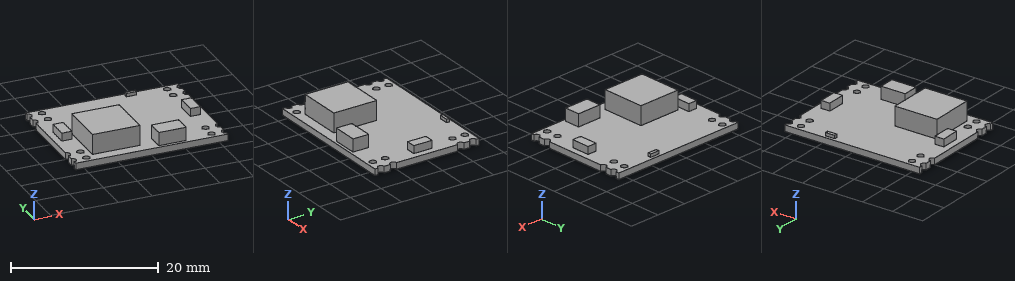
import cadquery as cq

board_length = 22.5
board_width = 17.0
board_thickness = 1.01
overall_height = 4.0

hole_diameter = 1.0
hole_x = 9.25
inner_row_y = 5.5
outer_row_y = 7.5

main_side = 7.0
main_height = overall_height - board_thickness
main_center = (-4.6, -3.42)

front_size = (4.05, 2.55, 1.98)
front_center = (3.25, -6.77)

chip_size = (1.53, 0.5, 0.5)
chip_center = (4.0, 7.78)

side_size = (1.48, 2.97, 1.2)
side_x = 9.5


def make_board():
    """Plate with holes and edge notches in the same four rows."""
    plate = cq.Workplane("XY").box(
        board_length, board_width, board_thickness, centered=(True, True, False)
    )
    rows = [-outer_row_y, -inner_row_y, inner_row_y, outer_row_y]
    columns = [-board_length / 2, -hole_x, hole_x, board_length / 2]
    holes = (
        cq.Workplane("XY")
        .pushPoints([(x, y) for x in columns for y in rows])
        .circle(hole_diameter / 2)
        .extrude(board_thickness)
    )
    return plate.cut(holes)


def component(size, center):
    """Rectangular component standing on the top face of the board."""
    return (
        cq.Workplane("XY", origin=(*center, board_thickness))
        .box(*size, centered=(True, True, False))
    )


result = make_board()
result = result.union(component((main_side, main_side, main_height), main_center))
result = result.union(component(front_size, front_center))
result = result.union(component(chip_size, chip_center))
for x in (-side_x, side_x):
    result = result.union(component(side_size, (x, 0)))